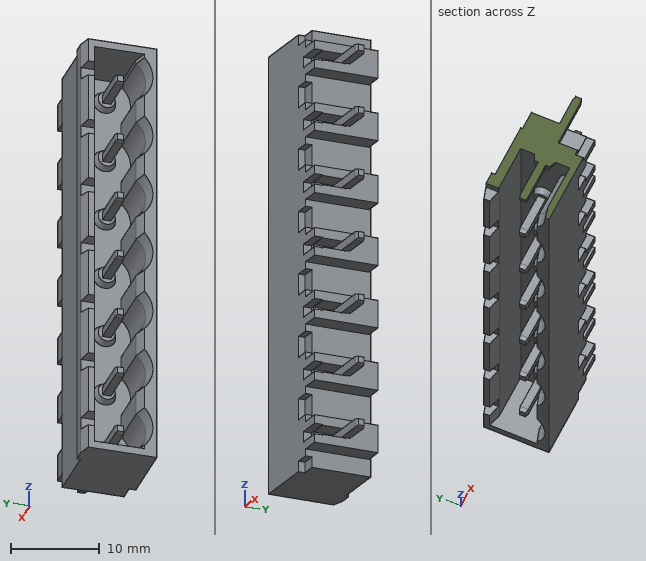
import cadquery as cq


way_count = 7
length = 52.5
pitch = length / way_count
body_depth = 9.8
body_height = 8.1
lip_height = 0.4
lip_ramp_length = 1.5
lip_end = 3.0

end_wall = 0.9
pocket_floor = 7.25
pocket_top = 6.9
pocket_bottom = 1.95
lead_in_depth = 1.6
lead_in = 0.45
scallop_radius = 3.05
scallop_mouth_radius = 3.4

latch_slot_depth = 1.4
latch_slot_mouth = 1.8
latch_slot_base = 1.4

notch_start = 7.95
notch_width = 2.5
notch_height = 0.8

support_end = 12.2
support_width = 3.3
support_height = 7.9
groove_start = 9.2
groove_width = 1.25
groove_height = 1.0
pin_slot_width = 1.1

pin_y = 3.9
pin_width = 1.0
pin_start = 1.25
pin_end = 16.2
tip_length = 0.5
tip_width = 0.75
collar_length = 0.8
collar_radius = 1.3
collar_end_radius = 1.0

way_positions = [(i - (way_count - 1) / 2) * pitch for i in range(way_count)]
gap_positions = [(i - way_count / 2) * pitch for i in range(way_count + 1)]


def block(x_range, y_range, z_middle, z_size):
    """Box spanning two X values and two Y values, centred on a Z value."""
    x_size = x_range[1] - x_range[0]
    y_size = y_range[1] - y_range[0]
    middle = (x_range[0] + x_size / 2, y_range[0] + y_size / 2, z_middle)
    return cq.Workplane("XY").box(x_size, y_size, z_size).translate(middle)


def prism(points, z_size):
    """XY outline extruded symmetrically about Z = 0."""
    return cq.Workplane("XY").polyline(points).close().extrude(z_size / 2, both=True)


def cone(x_start, x_size, start_radius, end_radius, z):
    """Cone along +X on the pin axis at height z."""
    solid = cq.Solid.makeCone(
        start_radius, end_radius, x_size, cq.Vector(x_start, pin_y, z), cq.Vector(1, 0, 0)
    )
    return cq.Workplane(obj=solid)


def cylinder(x_start, x_size, radius, z):
    """Cylinder along +X on the pin axis at height z."""
    return cq.Workplane("YZ", origin=(x_start, pin_y, z)).circle(radius).extrude(x_size)


def make_body():
    lip_top = body_height + lip_height
    outline = [
        (0, 0),
        (body_depth, 0),
        (body_depth, body_height),
        (lip_end, body_height),
        (lip_end, lip_top),
        (lip_ramp_length, lip_top),
        (0, body_height),
    ]
    return prism(outline, length)


def make_scallop(z):
    """Round flared relief concentric with a pin, running the full pocket depth."""
    flare = cone(0, lead_in_depth, scallop_mouth_radius, scallop_radius, z)
    return flare.union(cylinder(lead_in_depth, pocket_floor - lead_in_depth, scallop_radius, z))


def make_pocket():
    """Pocket with flared long sides and a scallop on the -Y side of every pin."""
    pocket_length = length - 2 * end_wall
    outline = [
        (0, pocket_bottom - lead_in),
        (lead_in_depth, pocket_bottom),
        (pocket_floor, pocket_bottom),
        (pocket_floor, pocket_top),
        (lead_in_depth, pocket_top),
        (0, pocket_top + lead_in),
    ]
    pocket = prism(outline, pocket_length)
    lower_half = block((0, pocket_floor), (0, pin_y), 0, pocket_length)
    for z in way_positions:
        pocket = pocket.union(make_scallop(z).intersect(lower_half))
    return pocket


def make_latch_slot(z):
    """Slot through the latch wall, narrowing toward its base."""
    half_mouth = latch_slot_mouth / 2
    half_base = latch_slot_base / 2
    outline = [
        (0, z - half_mouth),
        (latch_slot_depth, z - half_base),
        (latch_slot_depth, z + half_base),
        (0, z + half_mouth),
    ]
    wall_top = body_height + lip_height
    profile = cq.Workplane("XZ", origin=(0, wall_top, 0)).polyline(outline).close()
    return profile.extrude(wall_top - pocket_top)


def make_notch(z):
    return block((notch_start, body_depth), (0, notch_height), z, notch_width)


def make_support(z):
    return block((body_depth, support_end), (0, support_height), z, support_width)


def make_pin_slot(z):
    """Wide shallow groove, then a narrow slot reaching in to the pin."""
    groove = block((groove_start, support_end), (0, groove_height), z, groove_width)
    slot = block((body_depth, support_end), (0, pin_y), z, pin_slot_width)
    return groove.union(slot)


def make_tip(x, direction, z):
    """Tapered pin end starting at x and pointing along +X or -X."""
    base = cq.Workplane("YZ", origin=(x, pin_y, z)).rect(pin_width, pin_width)
    return base.workplane(offset=direction * tip_length).rect(tip_width, tip_width).loft()


def make_pin(z):
    shank_start = pin_start + tip_length
    shank_end = pin_end - tip_length
    half_width = pin_width / 2
    pin = block((shank_start, shank_end), (pin_y - half_width, pin_y + half_width), z, pin_width)
    pin = pin.union(make_tip(shank_start, -1, z)).union(make_tip(shank_end, 1, z))
    collar_start = pocket_floor - collar_length
    return pin.union(cone(collar_start, collar_length, collar_end_radius, collar_radius, z))


result = make_body().cut(make_pocket())
for gap_z in gap_positions:
    result = result.cut(make_notch(gap_z))
for way_z in way_positions:
    result = result.cut(make_latch_slot(way_z))
    result = result.union(make_support(way_z)).cut(make_pin_slot(way_z))
    result = result.union(make_pin(way_z))